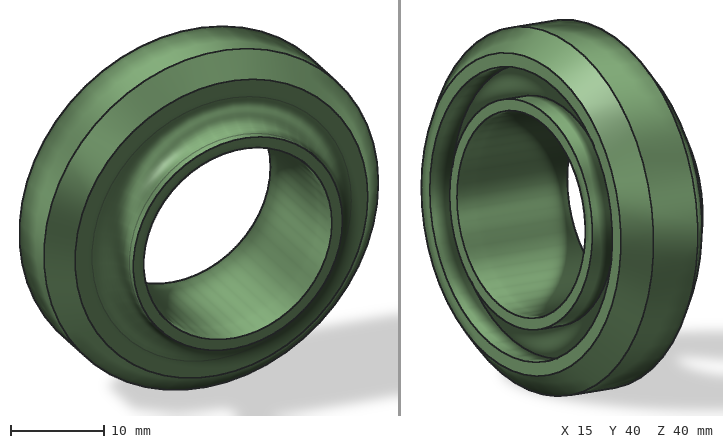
import cadquery as cq

total_length = 15.0
flange_width = 11.0
groove_depth = 3.0

flange_diameter = 40.0
flange_face_diameter = 35.0
groove_outer_diameter = 32.0
hub_diameter = 25.0
bore_diameter = 22.5

chamfer = (flange_diameter - flange_face_diameter) / 2
neck_fillet = 3.0
selection_margin = 0.4


def cylinder(diameter, length):
    """Solid cylinder on the X axis, starting at the X = 0 face."""
    return cq.Workplane("YZ").circle(diameter / 2).extrude(length)


flange = cylinder(flange_diameter, flange_width).edges().chamfer(chamfer)

body = flange.union(cylinder(hub_diameter, total_length))
neck_corner = cq.selectors.BoxSelector(
    (flange_width - selection_margin, -hub_diameter, -hub_diameter),
    (flange_width + selection_margin, hub_diameter, hub_diameter),
    boundingbox=False,
)
neck_edge = body.edges(neck_corner).edges(cq.selectors.RadiusNthSelector(0))
body = neck_edge.fillet(neck_fillet)

groove = cylinder(groove_outer_diameter, groove_depth).cut(cylinder(hub_diameter, groove_depth))

bore = cylinder(bore_diameter, total_length)

result = body.cut(groove).cut(bore)